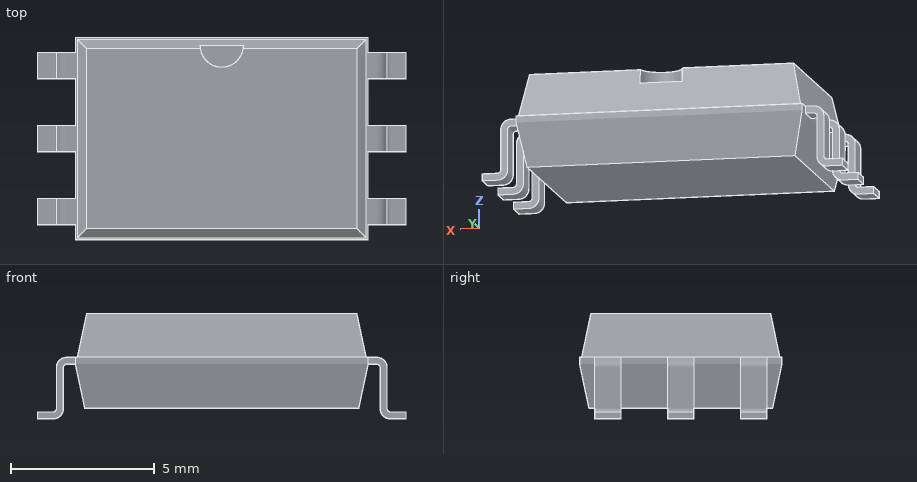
import cadquery as cq
import math

span_x = 12.84
height = 3.68

body_x = 10.2
body_y = 7.05
standoff = 0.37
draft_angle = 12.0
upper_step = 0.07

lead_thickness = 0.25
lead_width = 0.92
lead_pitch = 2.54
leads_per_side = 3
foot_length = 0.91
inner_bend_radius = 0.11
lead_embedding = 0.5

notch_radius = 0.75
notch_depth = 0.5

band_bottom = (standoff + height - lead_thickness) / 2
band_top = band_bottom + lead_thickness
outer_bend_radius = inner_bend_radius + lead_thickness
upper_x = body_x - 2 * upper_step
upper_y = body_y - 2 * upper_step


def make_body():
    """Parting band with a drafted block above and below it."""
    lower = (
        cq.Workplane("XY", origin=(0, 0, band_bottom))
        .rect(body_x, body_y)
        .extrude(standoff - band_bottom, taper=draft_angle)
    )
    band = (
        cq.Workplane("XY", origin=(0, 0, band_bottom))
        .rect(body_x, body_y)
        .extrude(lead_thickness)
    )
    upper = (
        cq.Workplane("XY", origin=(0, 0, band_top))
        .rect(upper_x, upper_y)
        .extrude(height - band_top, taper=draft_angle)
    )
    return band.union(lower).union(upper)


def make_notch():
    """Round cutter centred where the notch floor meets the sloped +Y wall."""
    floor_z = height - notch_depth
    center_y = upper_y / 2 - (floor_z - band_top) * math.tan(math.radians(draft_angle))
    return (
        cq.Workplane("XY", origin=(0, center_y, floor_z))
        .circle(notch_radius)
        .extrude(notch_depth)
    )


def make_lead(center_y):
    """Gull-wing lead on the -X side, embedded in the body at its inner end."""
    tip_x = -span_x / 2
    inner_end_x = -body_x / 2 + lead_embedding
    leg_outer_x = tip_x + foot_length - lead_thickness
    leg_inner_x = tip_x + foot_length
    upper_bend_x = leg_outer_x + outer_bend_radius
    upper_bend_z = band_top - outer_bend_radius
    lower_bend_x = leg_inner_x - outer_bend_radius
    lower_bend_z = outer_bend_radius
    diagonal = math.sqrt(0.5)
    outer_diagonal = outer_bend_radius * diagonal
    inner_diagonal = inner_bend_radius * diagonal
    profile = (
        cq.Workplane("XZ", origin=(0, center_y + lead_width / 2, 0))
        .moveTo(tip_x, 0)
        .lineTo(lower_bend_x, 0)
        .threePointArc(
            (lower_bend_x + outer_diagonal, lower_bend_z - outer_diagonal),
            (leg_inner_x, lower_bend_z),
        )
        .lineTo(leg_inner_x, upper_bend_z)
        .threePointArc(
            (upper_bend_x - inner_diagonal, upper_bend_z + inner_diagonal),
            (upper_bend_x, band_bottom),
        )
        .lineTo(inner_end_x, band_bottom)
        .lineTo(inner_end_x, band_top)
        .lineTo(upper_bend_x, band_top)
        .threePointArc(
            (upper_bend_x - outer_diagonal, upper_bend_z + outer_diagonal),
            (leg_outer_x, upper_bend_z),
        )
        .lineTo(leg_outer_x, lower_bend_z)
        .threePointArc(
            (lower_bend_x + inner_diagonal, lower_bend_z - inner_diagonal),
            (lower_bend_x, lead_thickness),
        )
        .lineTo(tip_x, lead_thickness)
        .close()
    )
    return profile.extrude(lead_width)


result = make_body().cut(make_notch())
for index in range(leads_per_side):
    lead_y = (index - (leads_per_side - 1) / 2) * lead_pitch
    lead = make_lead(lead_y)
    result = result.union(lead).union(lead.mirror("YZ"))